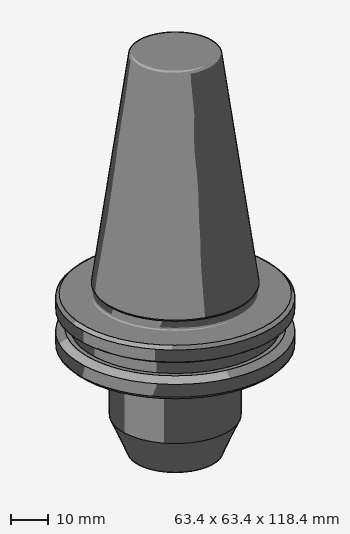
import cadquery as cq
import math

total_length = 118.4
nose_cone_top = 11.0
flange_bottom = 30.9
flange_top = 46.8
gauge_height = 50.0

gauge_radius = 22.3
taper_slope = 7 / 48
shank_top_radius = gauge_radius - (total_length - gauge_height) * taper_slope
shank_top_fillet = 1.0

neck_radius = 21.8
neck_chamfer_height = 0.6
neck_fillet = 0.6

flange_radius = 31.7
flange_chamfer = 1.0
groove_center = 39.0
groove_root_radius = 28.0
groove_root_width = 3.9
groove_flank_depth = 2.4
groove_flank_angle = 30.0

nose_radius = 17.5
nose_tip_radius = 12.7
nose_fillet = 2.0


def flange_groove():
    """Ring of material removed by the gripper groove."""
    half_root = groove_root_width / 2
    flank_rise = groove_flank_depth * math.tan(math.radians(groove_flank_angle))
    half_mouth = half_root + flank_rise
    flank_end_radius = flange_radius - groove_flank_depth
    return (
        cq.Workplane("XZ")
        .moveTo(groove_root_radius, groove_center - half_root)
        .lineTo(flank_end_radius, groove_center - half_root)
        .lineTo(flange_radius, groove_center - half_mouth)
        .lineTo(flange_radius, groove_center + half_mouth)
        .lineTo(flank_end_radius, groove_center + half_root)
        .lineTo(groove_root_radius, groove_center + half_root)
        .close()
        .revolve(360, (0, 0, 0), (0, 1, 0))
    )


def holder_body():
    """Turned body: nose, chamfered flange, filleted neck and taper shank."""
    arc_inset = 1 - math.sqrt(0.5)
    nose_inset = nose_fillet * arc_inset
    neck_inset = neck_fillet * arc_inset
    return (
        cq.Workplane("XZ")
        .lineTo(nose_tip_radius, 0)
        .lineTo(nose_radius, nose_cone_top)
        .lineTo(nose_radius, flange_bottom - nose_fillet)
        .threePointArc(
            (nose_radius + nose_inset, flange_bottom - nose_inset),
            (nose_radius + nose_fillet, flange_bottom),
        )
        .lineTo(flange_radius - flange_chamfer, flange_bottom)
        .lineTo(flange_radius, flange_bottom + flange_chamfer)
        .lineTo(flange_radius, flange_top - flange_chamfer)
        .lineTo(flange_radius - flange_chamfer, flange_top)
        .lineTo(neck_radius + neck_fillet, flange_top)
        .threePointArc(
            (neck_radius + neck_inset, flange_top + neck_inset),
            (neck_radius, flange_top + neck_fillet),
        )
        .lineTo(neck_radius, gauge_height - neck_chamfer_height)
        .lineTo(gauge_radius, gauge_height)
        .lineTo(shank_top_radius, total_length)
        .lineTo(0, total_length)
        .close()
        .revolve(360, (0, 0, 0), (0, 1, 0))
    )


body = holder_body().faces(">Z").edges().fillet(shank_top_fillet)
result = body.cut(flange_groove())